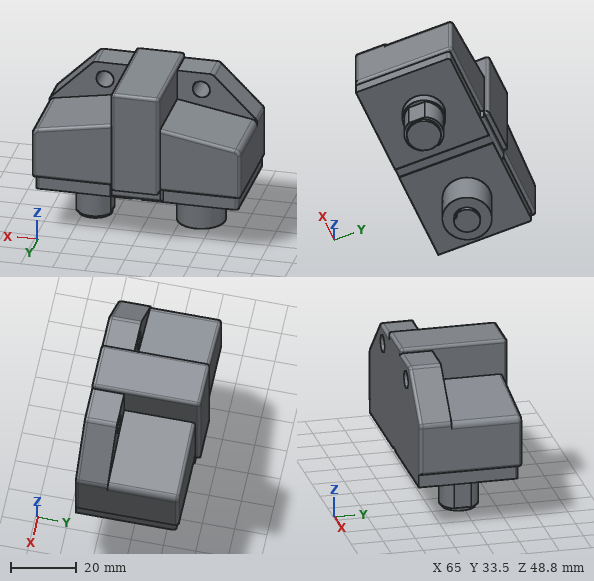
import cadquery as cq
import math


shell_width = 65.0
shell_depth = 32.0
shell_bottom = 4.1
front_depth = 10.0
shoulder_height = 34.4
bevel = 14.05
slope_angle = 10.0
corner_radius = 2.0
edge_radius = 1.0

base_width = shell_width - 2 * edge_radius
base_depth = shell_depth - edge_radius

rib_width = 15.0
rib_proud = 1.5
rib_bottom = 3.45
rib_depth = shell_depth + rib_proud
rib_top = shoulder_height + rib_proud

hole_diameter = 5.4
hole_spacing = 30.0
hole_height = 28.85

groove_width = 3.0
groove_height = 0.4

tab_width = 15.3
tab_bottom = groove_height
tab_flare = 30.0

connector_offset = 16.5
connector_y = shell_depth / 2
connector_length = 12.9
sleeve_diameter = 15.0
sleeve_length = 11.6
flange_diameter = 13.05
flange_length = 3.0
stud_diameter = 12.0
stud_flats = 10.8
stud_length = 11.8
stud_tip_diameter = 10.4

insert_diameter = 8.0
key_width = 1.2
key_depth = 0.5
key_angle = -45.0


def extrude_back(outline, y_start, y_end):
    """Closed XZ outline, extruded along +Y from y_start to y_end."""
    face = cq.Workplane("XZ", origin=(0, y_start, 0)).polyline(outline).close()
    return face.extrude(y_start - y_end)


def post(diameter, length, x):
    """Round post hanging from the underside of the base."""
    return cq.Workplane("XY", origin=(x, connector_y, 0)).circle(diameter / 2).extrude(-length)


def make_front_block():
    half = shell_width / 2
    bevel_bottom = shoulder_height - bevel
    outline = [
        (-half, shell_bottom),
        (-half, bevel_bottom),
        (-half + bevel, shoulder_height),
        (half - bevel, shoulder_height),
        (half, bevel_bottom),
        (half, shell_bottom),
    ]
    block = extrude_back(outline, 0, front_depth)
    block = block.edges("|Y").edges("not <Z").fillet(corner_radius)
    side_bottoms = block.faces("<Z").edges("|Y")
    front_outline = block.faces("<Y").edges("not <Z")
    return side_bottoms.add(front_outline).fillet(edge_radius)


def make_rear_block():
    half = shell_width / 2
    slope_start = shoulder_height - bevel
    ridge_height = slope_start + half * math.tan(math.radians(slope_angle))
    outline = [
        (-half, shell_bottom),
        (-half, slope_start),
        (0, ridge_height),
        (half, slope_start),
        (half, shell_bottom),
    ]
    block = extrude_back(outline, front_depth, shell_depth)
    block = block.edges("|Y and (<X or >X)").edges("not <Z").fillet(corner_radius)
    side_bottoms = block.faces("<Z").edges("|Y")
    back_outline = block.faces(">Y").edges()
    return side_bottoms.add(back_outline).fillet(edge_radius)


def make_rib():
    rib = cq.Workplane("XY", origin=(0, 0, rib_bottom)).box(
        rib_width, rib_depth, rib_top - rib_bottom, centered=(True, False, False)
    )
    return rib.edges("not (<Z and |X)").fillet(edge_radius)


def make_base():
    base = cq.Workplane("XY").box(base_width, base_depth, shell_bottom, centered=(True, False, False))
    base = base.edges("|Z and >Y").fillet(edge_radius)
    groove = cq.Workplane("XY").box(groove_width, base_depth, groove_height, centered=(True, False, False))
    return base.cut(groove).union(make_tab())


def make_tab():
    """Tab with sides flaring toward the base and a rounded lower back edge, rooted in the base."""
    thickness = 2 * edge_radius
    half = tab_width / 2
    root_half = half + thickness * math.tan(math.radians(tab_flare))
    outline = [
        (-root_half, base_depth - edge_radius),
        (-half, shell_depth),
        (half, shell_depth),
        (root_half, base_depth - edge_radius),
    ]
    tab = cq.Workplane("XY", origin=(0, 0, tab_bottom)).polyline(outline).close()
    tab = tab.extrude(shell_bottom + edge_radius - tab_bottom)
    return tab.edges("|X and >Y and <Z").fillet(edge_radius)


def make_stud():
    flange = post(flange_diameter, flange_length, connector_offset)
    flats = (
        cq.Workplane("XY", origin=(connector_offset, connector_y, 0))
        .rect(stud_flats, stud_diameter)
        .extrude(-stud_length)
    )
    shank = post(stud_diameter, stud_length, connector_offset).intersect(flats)
    tip = post(stud_tip_diameter, connector_length, connector_offset)
    return flange.union(shank).union(tip)


def make_insert():
    insert = post(insert_diameter, connector_length, -connector_offset)
    keyway = (
        cq.Workplane("XY")
        .center(insert_diameter / 2, 0)
        .rect(2 * key_depth, key_width)
        .extrude(-connector_length)
        .rotate((0, 0, 0), (0, 0, 1), key_angle)
        .translate((-connector_offset, connector_y, 0))
    )
    return insert.cut(keyway)


def make_housing():
    housing = make_base().union(make_front_block()).union(make_rear_block()).union(make_rib())
    holes = (
        cq.Workplane("XZ")
        .pushPoints([(-hole_spacing / 2, hole_height), (hole_spacing / 2, hole_height)])
        .circle(hole_diameter / 2)
        .extrude(-front_depth)
    )
    bore = post(insert_diameter, sleeve_length, -connector_offset)
    sleeve = post(sleeve_diameter, sleeve_length, -connector_offset).cut(bore)
    return housing.cut(holes).union(sleeve).union(make_stud())


housing = make_housing()
insert = make_insert()

result = cq.Compound.makeCompound([housing.val(), insert.val()])